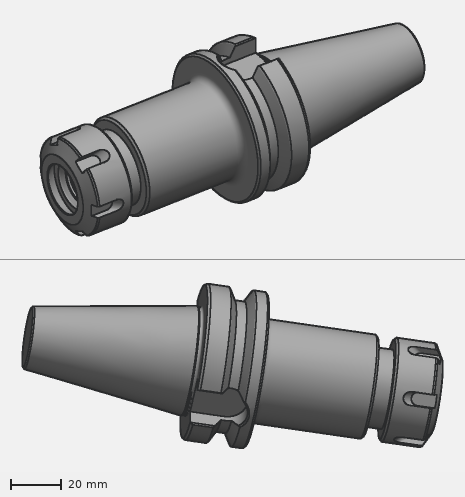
import cadquery as cq
import math


taper_length = 65.3
gauge_radius = 22.2
taper_slope = 7 / 48
taper_tip_radius = gauge_radius - taper_slope * taper_length
tip_chamfer = 0.7

neck_radius = 21.7
neck_step = 0.5
neck_fillet = 1.0

flange_radius = 31.51
flange_start = -2.0
flange_end = -27.0
flange_front_chamfer = 0.8
flange_rear_chamfer_length = 1.2
flange_rear_chamfer_depth = 0.7
groove_centre = -16.5
groove_floor_width = 4.1
groove_depth = 4.5
groove_flank_angle = 30
groove_rim_chamfer = 0.5
groove_half_floor = groove_floor_width / 2
groove_half_mouth = groove_half_floor + groove_depth * math.tan(math.radians(groove_flank_angle))

drive_slot_width = 16.2
drive_slot_floor = 22.7
drive_slot_end = -23.7
drive_slot_chamfer = 0.7
tolerance = 0.02

body_radius = 21.0
body_fillet = 3.0
body_end = -73.3
edge_chamfer = 1.0
nose_radius = 16.0

seat_mouth_radius = 10.5
seat_chamfer_radius = 10.1
seat_chamfer_length = 0.8
seat_bottom_radius = 9.0
seat_depth = 2.5
drill_radius = 8.1
drill_depth = 3.8
drill_point_angle = 118

nut_start = -80.0
nut_end = taper_length - 165.4
nut_radius = 21.0
nut_shoulder = -96.1
shoulder_drop = 0.3
shoulder_length = 0.8
nut_face_radius = 14.9
face_rim_radius = 15.5
face_rim_length = 0.3
nut_mouth_radius = 10.6
mouth_chamfer = 0.3
mouth_cone_angle = 30
lip_thickness = 5.0
mouth_cone_length = lip_thickness - mouth_chamfer
lip_inner_radius = nut_mouth_radius + mouth_cone_length * math.tan(math.radians(mouth_cone_angle))
nose_end = nut_end + lip_thickness

spanner_slot_count = 6
spanner_slot_width = 5.5
spanner_slot_floor = 18.11
spanner_slot_end = -84.9
spanner_slot_lean = 3.5


def revolve_about_y(sketch):
    return sketch.close().revolve(360, (0, 0, 0), (0, 1, 0))


def turned_shank():
    """Outside of the holder: taper, neck, flange, body and nose."""
    return revolve_about_y(
        cq.Workplane("XY")
        .moveTo(0, taper_length)
        .lineTo(taper_tip_radius - tip_chamfer, taper_length)
        .lineTo(taper_tip_radius + taper_slope * tip_chamfer, taper_length - tip_chamfer)
        .lineTo(gauge_radius, 0)
        .lineTo(neck_radius, -neck_step)
        .lineTo(neck_radius, flange_start + neck_fillet)
        .radiusArc((neck_radius + neck_fillet, flange_start), -neck_fillet)
        .lineTo(flange_radius - flange_rear_chamfer_depth, flange_start)
        .lineTo(flange_radius, flange_start - flange_rear_chamfer_length)
        .lineTo(flange_radius, flange_end + flange_front_chamfer)
        .lineTo(flange_radius - flange_front_chamfer, flange_end)
        .lineTo(body_radius + body_fillet, flange_end)
        .radiusArc((body_radius, flange_end - body_fillet), -body_fillet)
        .lineTo(body_radius, body_end + edge_chamfer)
        .lineTo(body_radius - edge_chamfer, body_end)
        .lineTo(nose_radius, body_end)
        .lineTo(nose_radius, nose_end)
        .lineTo(0, nose_end)
    )


def gripper_groove():
    """V groove around the flange."""
    rim_radius = flange_radius - groove_rim_chamfer
    floor_radius = rim_radius - groove_depth
    return revolve_about_y(
        cq.Workplane("XY")
        .moveTo(floor_radius, groove_centre + groove_half_floor)
        .lineTo(rim_radius, groove_centre + groove_half_mouth)
        .lineTo(flange_radius, groove_centre + groove_half_mouth + groove_rim_chamfer)
        .lineTo(flange_radius, groove_centre - groove_half_mouth - groove_rim_chamfer)
        .lineTo(rim_radius, groove_centre - groove_half_mouth)
        .lineTo(floor_radius, groove_centre - groove_half_floor)
    )


def drive_slot(side):
    """Flat-floored slot with a round end, open to the taper side."""
    half = drive_slot_width / 2
    height = flange_radius - drive_slot_floor
    return (
        cq.Workplane("XY", origin=(0, 0, side * drive_slot_floor))
        .moveTo(-half, 0)
        .lineTo(-half, drive_slot_end + half)
        .threePointArc((0, drive_slot_end), (half, drive_slot_end + half))
        .lineTo(half, 0)
        .close()
        .extrude(side * height)
    )


class SlotRimSelector(cq.Selector):
    """Edges where the drive slots break through the outside of the flange."""

    def filter(self, edges):
        rear_rim = flange_start - flange_rear_chamfer_length

        def on_rim(edge):
            middle = edge.positionAt(0.5)
            radius = math.hypot(middle.x, middle.z)
            inside_slot = abs(middle.x) < drive_slot_width / 2 + tolerance
            clear_of_ends = flange_end + flange_front_chamfer < middle.y < rear_rim
            return inside_slot and clear_of_ends and abs(radius - flange_radius) < tolerance

        return [edge for edge in edges if on_rim(edge)]


def collet_seat():
    """Cutting tool for the seat and the drilled hole behind it."""
    point_length = drill_radius / math.tan(math.radians(drill_point_angle / 2))
    return revolve_about_y(
        cq.Workplane("XY")
        .moveTo(0, nose_end)
        .lineTo(seat_mouth_radius, nose_end)
        .lineTo(seat_chamfer_radius, nose_end + seat_chamfer_length)
        .lineTo(seat_bottom_radius, nose_end + seat_depth)
        .lineTo(drill_radius, nose_end + seat_depth)
        .lineTo(drill_radius, nose_end + drill_depth)
        .lineTo(0, nose_end + drill_depth + point_length)
    )


def make_holder():
    holder = turned_shank()
    for side in (1, -1):
        holder = holder.cut(drive_slot(side))
    holder = holder.edges(SlotRimSelector()).chamfer(drive_slot_chamfer)
    return holder.cut(gripper_groove()).cut(collet_seat())


def turned_nut():
    """Nut blank, bored to fit over the nose and open at its face."""
    return revolve_about_y(
        cq.Workplane("XY")
        .moveTo(nose_radius, nut_start)
        .lineTo(nut_radius - edge_chamfer, nut_start)
        .lineTo(nut_radius, nut_start - edge_chamfer)
        .lineTo(nut_radius, nut_shoulder)
        .lineTo(nut_radius - shoulder_drop, nut_shoulder - shoulder_length)
        .lineTo(face_rim_radius, nut_end + face_rim_length)
        .lineTo(nut_face_radius, nut_end)
        .lineTo(nut_mouth_radius + mouth_chamfer, nut_end)
        .lineTo(nut_mouth_radius, nut_end + mouth_chamfer)
        .lineTo(lip_inner_radius, nose_end)
        .lineTo(nose_radius, nose_end)
    )


def spanner_slot():
    """Slot on +X, open at the nut face, whose round end slopes inward to the floor."""
    half = spanner_slot_width / 2

    def outline(section, tip):
        return (
            section.moveTo(nut_end, -half)
            .lineTo(tip - half, -half)
            .threePointArc((tip, 0), (tip - half, half))
            .lineTo(nut_end, half)
            .close()
        )

    floor = cq.Workplane("YZ", origin=(spanner_slot_floor, 0, 0))
    depth = nut_radius - spanner_slot_floor
    section = outline(floor, spanner_slot_end - spanner_slot_lean)
    return outline(section.workplane(offset=depth), spanner_slot_end).loft(ruled=True)


def make_nut():
    nut = turned_nut()
    for index in range(spanner_slot_count):
        angle = 360 / spanner_slot_count * index
        nut = nut.cut(spanner_slot().rotate((0, 0, 0), (0, 1, 0), angle))
    return nut


holder = make_holder()
nut = make_nut()
result = cq.Compound.makeCompound([holder.val(), nut.val()])